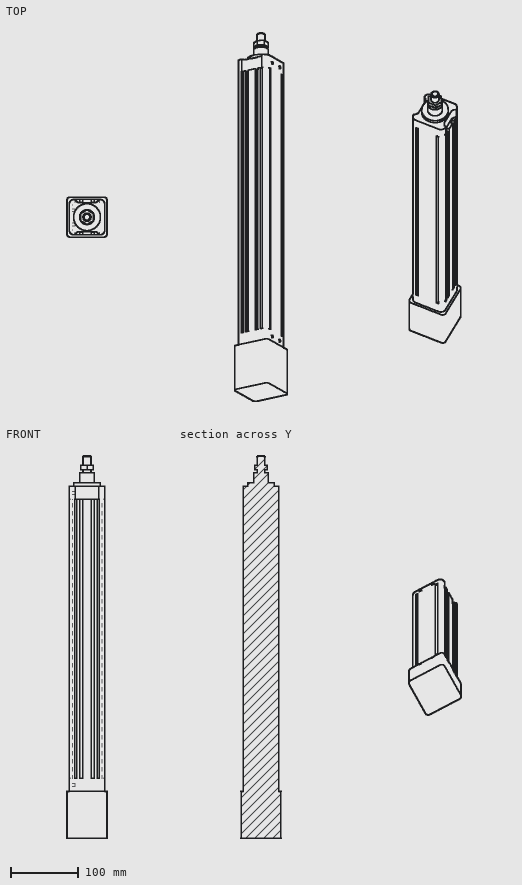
import cadquery as cq
import math

HOUSING_SIDE = 60.0
HOUSING_HEIGHT = 70.0
HOUSING_CORNER_RADIUS = 5.0

TUBE_SIDE = 53.0
TUBE_TOP_Z = 525.0
TUBE_CORNER_RADIUS = 7.5

FLANGE_DIAMETER = 40.0
FLANGE_TOP_Z = 530.0
ROD_DIAMETER = 22.0
ROD_TOP_Z = 545.0
STUD_DIAMETER = 12.0
STUD_TOP_Z = 570.0
STUD_CHAMFER = 1.5

NUT_ACROSS_FLATS = 19.0
NUT_BOTTOM_Z = 549.0
NUT_THICKNESS = 7.0

RELIEF_FLOOR_WIDTH = 22.0
RELIEF_DEPTH = 5.0
RELIEF_ARC_RADIUS = 7.0
RELIEF_LENGTH = 20.0

GROOVE_BOTTOM_Z = 90.0
GROOVE_TOP_Z = TUBE_TOP_Z - RELIEF_LENGTH
SLOT_OFFSET = 8.5
SLOT_WIDTH = 5.0
SLOT_DEPTH = 4.0
BEVEL_GROOVE_INNER = 15.0
BEVEL_GROOVE_WIDTH = 3.6
BEVEL_GROOVE_DEPTH = 4.3

HOLE_DIAMETER = 4.0
HOLE_DEPTH = 8.0
HOLE_OFFSET_Y = 10.5
HOLE_END_DISTANCE = 10.0

TUBE_HALF = TUBE_SIDE / 2
GROOVE_LENGTH = GROOVE_TOP_Z - GROOVE_BOTTOM_Z


def rounded_square(side, corner_radius, bottom_z, top_z):
    block = cq.Workplane("XY").workplane(offset=bottom_z).rect(side, side).extrude(top_z - bottom_z)
    return block.edges("|Z").fillet(corner_radius)


def cylinder(diameter, bottom_z, top_z):
    return cq.Workplane("XY").workplane(offset=bottom_z).circle(diameter / 2).extrude(top_z - bottom_z)


def turned(shape, angle):
    """Turn a shape about the actuator axis."""
    return shape.rotate((0, 0, 0), (0, 0, 1), angle)


def hex_nut():
    """Hexagon nut with two flats facing +X and -X."""
    across_corners = NUT_ACROSS_FLATS / math.cos(math.pi / 6)
    nut = cq.Workplane("XY").workplane(offset=NUT_BOTTOM_Z).polygon(6, across_corners).extrude(NUT_THICKNESS)
    return turned(nut, 90)


def head_relief():
    """Cutter for the -Y face: flat floor blending through concave arcs out to the face."""
    floor_half = RELIEF_FLOOR_WIDTH / 2
    floor_y = RELIEF_DEPTH - TUBE_HALF
    arc_angle = math.acos(1 - RELIEF_DEPTH / RELIEF_ARC_RADIUS)

    def arc_point(side, angle):
        x = floor_half + RELIEF_ARC_RADIUS * math.sin(angle)
        y = floor_y - RELIEF_ARC_RADIUS * (1 - math.cos(angle))
        return (side * x, y)

    return (
        cq.Workplane("XY")
        .workplane(offset=GROOVE_TOP_Z)
        .moveTo(-floor_half, floor_y)
        .lineTo(floor_half, floor_y)
        .threePointArc(arc_point(1, arc_angle / 2), arc_point(1, arc_angle))
        .lineTo(*arc_point(-1, arc_angle))
        .threePointArc(arc_point(-1, arc_angle / 2), (-floor_half, floor_y))
        .close()
        .extrude(RELIEF_LENGTH)
    )


def square_slots():
    """Cutter for the -Y face: a pair of plain slots either side of the centre line."""
    return (
        cq.Workplane("XY")
        .workplane(offset=GROOVE_BOTTOM_Z)
        .pushPoints([(-SLOT_OFFSET, -TUBE_HALF), (SLOT_OFFSET, -TUBE_HALF)])
        .rect(SLOT_WIDTH, 2 * SLOT_DEPTH)
        .extrude(GROOVE_LENGTH)
    )


def bevel_grooves():
    """Cutter for the -Y face: two grooves that slope down to a straight wall near each corner."""
    outer = BEVEL_GROOVE_INNER + BEVEL_GROOVE_WIDTH
    groove = (
        cq.Workplane("XY")
        .workplane(offset=GROOVE_BOTTOM_Z)
        .moveTo(BEVEL_GROOVE_INNER, -TUBE_HALF)
        .lineTo(outer, -TUBE_HALF)
        .lineTo(outer, BEVEL_GROOVE_DEPTH - TUBE_HALF)
        .close()
        .extrude(GROOVE_LENGTH)
    )
    return groove.union(groove.mirror("YZ"))


def mounting_holes():
    """Cutter for the four blind holes in the -X face."""
    hole_levels = (HOUSING_HEIGHT + HOLE_END_DISTANCE, TUBE_TOP_Z - HOLE_END_DISTANCE)
    centres = [(y, z) for y in (-HOLE_OFFSET_Y, HOLE_OFFSET_Y) for z in hole_levels]
    return (
        cq.Workplane("YZ")
        .workplane(offset=-TUBE_HALF)
        .pushPoints(centres)
        .circle(HOLE_DIAMETER / 2)
        .extrude(HOLE_DEPTH)
    )


def tube():
    body = rounded_square(TUBE_SIDE, TUBE_CORNER_RADIUS, HOUSING_HEIGHT, TUBE_TOP_Z)
    for angle in (0, 180):
        body = body.cut(turned(head_relief(), angle))
        body = body.cut(turned(square_slots(), angle))
    for angle in (0, 90, 180, 270):
        body = body.cut(turned(bevel_grooves(), angle))
    return body.cut(mounting_holes())


housing = rounded_square(HOUSING_SIDE, HOUSING_CORNER_RADIUS, 0, HOUSING_HEIGHT)
flange = cylinder(FLANGE_DIAMETER, TUBE_TOP_Z, FLANGE_TOP_Z)
rod = cylinder(ROD_DIAMETER, FLANGE_TOP_Z, ROD_TOP_Z)
stud = cylinder(STUD_DIAMETER, ROD_TOP_Z, STUD_TOP_Z).faces(">Z").chamfer(STUD_CHAMFER)

result = housing.union(tube()).union(flange).union(rod).union(stud).union(hex_nut())